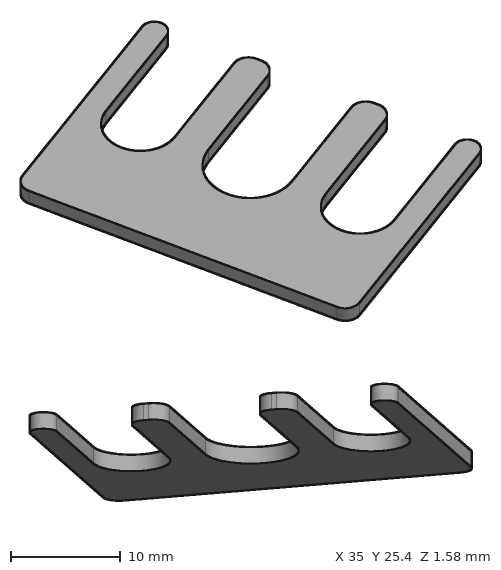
import cadquery as cq

width = 35.05
depth = 25.4
thickness = 1.58
corner_radius = 1.5

outer_finger_width = 2.52
inner_finger_width = 3.5
side_slot_width = 7.15
inner_tip_radius = 1.5
outer_tip_radius = outer_finger_width / 2

center_slot_width = width - 2 * (outer_finger_width + side_slot_width + inner_finger_width)
side_slot_offset = (center_slot_width + side_slot_width) / 2 + inner_finger_width
outer_finger_offset = (width - outer_finger_width) / 2
inner_finger_offset = (center_slot_width + inner_finger_width) / 2

finger_length = depth / 2


def base():
    """Front half of the plate, with rounded front corners."""
    base_depth = depth - finger_length
    return (
        cq.Workplane("XY")
        .center(0, -base_depth / 2)
        .rect(width, base_depth)
        .extrude(thickness)
        .edges("|Z and <Y")
        .fillet(corner_radius)
    )


def finger(x, finger_width, tip_radius):
    """Straight finger with an arc at each corner of its tip."""
    half_width = finger_width / 2
    tip_y = finger_length
    shoulder_y = tip_y - tip_radius
    half_flat = half_width - tip_radius
    outline = (
        cq.Workplane("XY")
        .moveTo(x - half_width, 0)
        .lineTo(x + half_width, 0)
        .lineTo(x + half_width, shoulder_y)
        .radiusArc((x + half_flat, tip_y), -tip_radius)
    )
    if half_flat > 0:
        outline = outline.lineTo(x - half_flat, tip_y)
    return outline.radiusArc((x - half_width, shoulder_y), -tip_radius).close().extrude(thickness)


def slot_floor(x, slot_width):
    """Cutter for the round floor of a slot."""
    return (
        cq.Workplane("XY")
        .center(x, 0)
        .circle(slot_width / 2)
        .extrude(thickness)
    )


result = base().cut(slot_floor(0, center_slot_width))
for side in (-1, 1):
    result = result.cut(slot_floor(side * side_slot_offset, side_slot_width))
for side in (-1, 1):
    result = result.union(finger(side * outer_finger_offset, outer_finger_width, outer_tip_radius))
    result = result.union(finger(side * inner_finger_offset, inner_finger_width, inner_tip_radius))
result = result.clean()